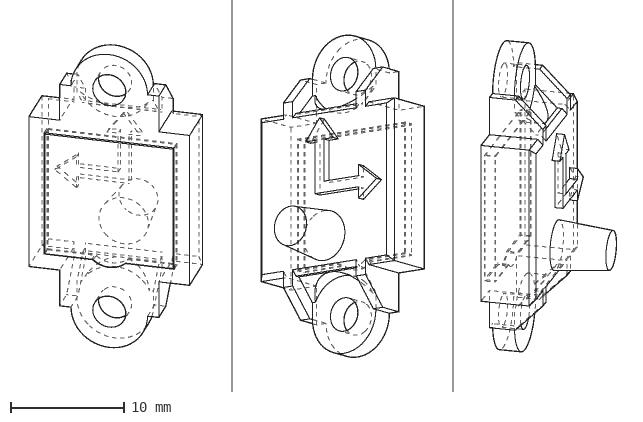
import cadquery as cq


block_side = 14.7
housing_depth = 4.9
back_chamfer = 0.5

total_length = 28.7
lug_diameter = 7.0
lug_thickness = 2.0
screw_hole_diameter = 3.0
lug_radius = lug_diameter / 2
hole_offset = total_length / 2 - lug_radius
shoulder_width = 9.07
shoulder_end_depth = 2.38
seat_slope_depth = 4.0

cover_side = 11.7
cover_gap = 0.1
cover_proud = 0.1
pocket_depth = 0.92

boss_base_diameter = 4.5
boss_tip_diameter = 3.55
boss_height = 5.0
boss_z = -4.22

arrow_reach = 6.29
arrow_head_length = 1.98
arrow_head_half_width = 1.52
arrow_shaft_width = 1.0
arrow_height = 0.72


def side_profile():
    """Sketch plane with local x along Y and local y along Z, extruding along X."""
    return cq.Workplane("YZ")


def face_plane(y):
    """Sketch plane at depth y, facing +Y, centred on the block (local x is -X, local y is Z)."""
    return cq.Workplane(cq.Plane(origin=(0, y, 0), xDir=(-1, 0, 0), normal=(0, 1, 0)))


def make_block():
    block = face_plane(0).rect(block_side, block_side).extrude(housing_depth)
    return block.faces(">Y").chamfer(back_chamfer)


def make_upper_end():
    """Lug at the +Z end, with sloped shoulder walls on both sides of the screw-head seat."""
    slope_start = hole_offset - (housing_depth - shoulder_end_depth)
    shoulder = (
        side_profile()
        .polyline([
            (0, 0),
            (0, hole_offset),
            (shoulder_end_depth, hole_offset),
            (housing_depth, slope_start),
            (housing_depth, 0),
        ])
        .close()
        .extrude(shoulder_width / 2, both=True)
    )

    block_end = block_side / 2
    slope_foot = block_end + seat_slope_depth - lug_thickness
    channel = (
        side_profile()
        .polyline([
            (lug_thickness, total_length / 2),
            (lug_thickness, slope_foot),
            (seat_slope_depth, block_end),
            (housing_depth - back_chamfer, block_end),
            (housing_depth, block_end - back_chamfer),
            (housing_depth, total_length / 2),
        ])
        .close()
        .extrude(lug_radius, both=True)
    )
    head_clearance = face_plane(lug_thickness).center(0, hole_offset).circle(lug_radius).extrude(housing_depth)
    lug = face_plane(0).center(0, hole_offset).circle(lug_radius).extrude(lug_thickness)
    return shoulder.cut(channel).cut(head_clearance).union(lug)


def cover_outline(side, start, depth):
    """Square plate with a round tab that shows below its lower edge."""
    plate = face_plane(start).rect(side, side).extrude(depth)
    tab = face_plane(start).center(0, boss_z).circle(boss_base_diameter / 2).extrude(depth)
    return plate.union(tab)


def make_arrow():
    """Raised arrow from the centre of the back face towards +Z."""
    head_base = arrow_reach - arrow_head_length
    half_shaft = arrow_shaft_width / 2
    return (
        face_plane(housing_depth)
        .polyline([
            (-half_shaft, -half_shaft),
            (-half_shaft, head_base),
            (-arrow_head_half_width, head_base),
            (0, arrow_reach),
            (arrow_head_half_width, head_base),
            (half_shaft, head_base),
            (half_shaft, -half_shaft),
        ])
        .close()
        .extrude(arrow_height)
    )


def make_housing():
    upper_end = make_upper_end()
    block = make_block()
    housing = block.union(upper_end).union(upper_end.mirror("XY"))

    screw_holes = (
        face_plane(0)
        .pushPoints([(0, hole_offset), (0, -hole_offset)])
        .circle(screw_hole_diameter / 2)
        .extrude(housing_depth)
    )
    pocket = cover_outline(cover_side + 2 * cover_gap, 0, pocket_depth)

    up_arrow = make_arrow()
    side_arrow = up_arrow.rotate((0, 0, 0), (0, 1, 0), -90)
    return housing.cut(screw_holes).cut(pocket).union(up_arrow).union(side_arrow)


def make_cover():
    return cover_outline(cover_side, -cover_proud, pocket_depth + cover_proud)


def make_boss():
    """Cone frustum standing on the back face of the housing."""
    return (
        face_plane(housing_depth)
        .center(0, boss_z)
        .circle(boss_base_diameter / 2)
        .workplane(offset=boss_height)
        .circle(boss_tip_diameter / 2)
        .loft(ruled=True)
    )


housing = make_housing()
cover = make_cover()
boss = make_boss()

result = cq.Compound.makeCompound([
    housing.solids().val(),
    cover.solids().val(),
    boss.solids().val(),
])